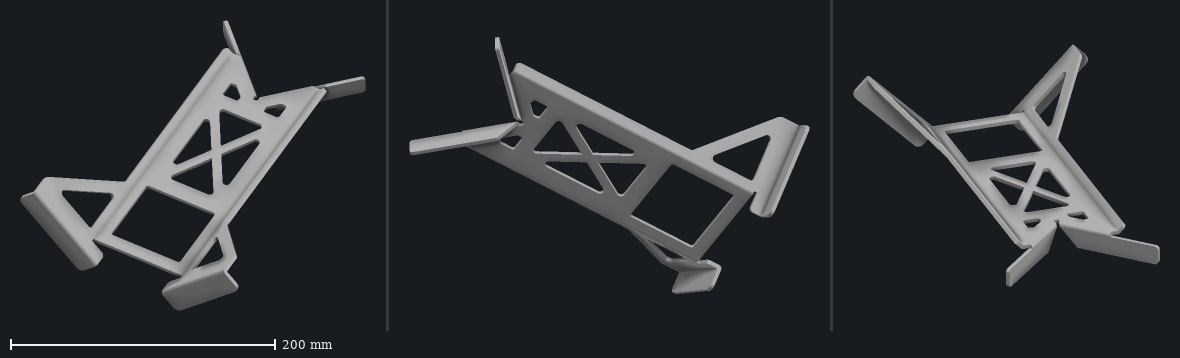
import cadquery as cq
import math

sheet = 3.0
diag = math.sqrt(0.5)

plate_half_width = 37.63
plate_length = 215.3
vee_apex_y = 182.3
relief_y = 184.1
relief_radius = 2.2
relief_slot_width = 2.6

window_width = 59.5
window_front_y = 10.5
window_back_y = 67.2
window_corner_radius = 2.0
brace_half_width = 24.45
brace_half_height = 40.65
brace_center_y = 121.95
brace_bar_half_width = 3.6
brace_corner_radius = 3.0
vent_inner_x = 10.9
vent_front_y = 174.8
vent_back_y = 188.4
vent_to_vee = 9.3
vent_corner_radius = 2.0

wing_fold_angle = 45.0
wing_width = 62.0
rail_width = 7.1
wing_shoulder_y = 3.7
wing_corner_radius = 5.0
rail_end_radius = 3.0
gusset_border = 9.3
gusset_front_y = 3.7
gusset_corner_radius = 3.0
tab_width = 14.04
tab_corner_radius = 3.0
notch_length = 2.8
notch_depth = 1.1

foot_front_y = -15.4
foot_depth = 20.0
foot_corner_radius = 5.0

ear_depth = 15.0
ear_start = 4.3
ear_tip = 87.13
ear_corner_radius = 3.0

foot_back_y = foot_front_y + sheet
wing_plane = cq.Plane(origin=(plate_half_width, 0, sheet), xDir=(1, 0, 1), normal=(-1, 0, 1))
foot_plane = cq.Plane(origin=(plate_half_width, foot_back_y, sheet), xDir=(1, 0, 1), normal=(0, -1, 0))
ear_plane = cq.Plane(origin=(0, vee_apex_y, 0), xDir=(1, 1, 0), normal=(1, -1, 0))


def mirror_pair(body):
    """Return the body together with its mirror image across X = 0."""
    return body.union(body.mirror("YZ"))


def prism(points):
    """Return a vertical prism through the plate."""
    return cq.Workplane("XY").polyline(points).close().extrude(sheet)


def make_plate():
    corner_x = plate_length - vee_apex_y
    half_outline = [
        (0, 0),
        (plate_half_width, 0),
        (plate_half_width, plate_length),
        (corner_x, plate_length),
        (0, vee_apex_y),
    ]
    return mirror_pair(prism(half_outline))


def make_window():
    length = window_back_y - window_front_y
    return (
        cq.Workplane("XY")
        .center(0, window_front_y + length / 2)
        .rect(window_width, length)
        .extrude(sheet)
        .edges("|Z")
        .fillet(window_corner_radius)
    )


def make_brace_openings():
    """Four triangles left between the diagonals of a rectangle."""
    slope = brace_half_height / brace_half_width
    bar_angle = math.atan(slope)
    apex_x = brace_bar_half_width / math.sin(bar_angle)
    apex_y = brace_bar_half_width / math.cos(bar_angle)
    side_y = (brace_half_width - apex_x) * slope
    end_x = (brace_half_height - apex_y) / slope
    side = prism([(apex_x, 0), (brace_half_width, -side_y), (brace_half_width, side_y)])
    side = side.edges("|Z and >X").fillet(brace_corner_radius)
    end = prism([(0, apex_y), (end_x, brace_half_height), (-end_x, brace_half_height)])
    end = end.edges("|Z and >Y").fillet(brace_corner_radius)
    openings = mirror_pair(side).union(end).union(end.mirror("XZ"))
    return openings.translate((0, brace_center_y, 0))


def make_vents():
    """Square openings with one corner cut parallel to the V fold."""
    cut_offset = vee_apex_y - vent_to_vee / diag
    outline = [
        (vent_inner_x, vent_front_y),
        (brace_half_width, vent_front_y),
        (brace_half_width, vent_back_y),
        (vent_back_y - cut_offset, vent_back_y),
        (vent_inner_x, vent_inner_x + cut_offset),
    ]
    return mirror_pair(prism(outline).edges("|Z").fillet(vent_corner_radius))


def make_vee_relief():
    hole = cq.Workplane("XY").center(0, relief_y).circle(relief_radius).extrude(sheet)
    slot_length = plate_length - relief_y
    slot = (
        cq.Workplane("XY")
        .center(0, relief_y + slot_length / 2)
        .rect(relief_slot_width, slot_length)
        .extrude(sheet)
    )
    return hole.union(slot)


def make_wing():
    """Right wing: a rail along the plate, a gusset and a front tab."""
    rise = wing_width - rail_width
    outline = [
        (-tab_width, foot_back_y),
        (wing_width, foot_back_y),
        (wing_width, wing_shoulder_y),
        (rail_width, wing_shoulder_y + rise),
        (rail_width, plate_length),
        (0, plate_length),
        (0, 0),
        (notch_depth, 0),
        (notch_depth, -notch_length),
        (-tab_width, -notch_length),
    ]

    def edge_at(width, y):
        point = wing_plane.toWorldCoords((width, y, -sheet / 2))
        return cq.selectors.NearestToPointSelector(point.toTuple())

    wing = cq.Workplane(wing_plane).polyline(outline).close().extrude(-sheet)
    wing = wing.edges(edge_at(wing_width, wing_shoulder_y)).fillet(wing_corner_radius)
    wing = wing.edges(edge_at(rail_width, wing_shoulder_y + rise)).fillet(wing_corner_radius)
    wing = wing.edges(edge_at(rail_width, plate_length)).fillet(rail_end_radius)
    wing = wing.edges(edge_at(-tab_width, -notch_length)).fillet(tab_corner_radius)
    return wing.cut(make_gusset_opening())


def make_gusset_opening():
    slant_sum = wing_width + wing_shoulder_y - gusset_border / diag
    outline = [
        (rail_width, gusset_front_y),
        (slant_sum - gusset_front_y, gusset_front_y),
        (rail_width, slant_sum - rail_width),
    ]
    opening = cq.Workplane(wing_plane).polyline(outline).close().extrude(-sheet)
    corners = cq.selectors.ParallelDirSelector(wing_plane.zDir)
    return opening.edges(corners).fillet(gusset_corner_radius)


def make_wing_fold():
    """Rounded 45 degree fold between plate and wing."""
    half_turn = math.radians(wing_fold_angle / 2)
    middle = (sheet * math.sin(half_turn), sheet - sheet * math.cos(half_turn))
    return (
        cq.Workplane("XZ", origin=(plate_half_width, 0, 0))
        .moveTo(0, sheet)
        .lineTo(0, 0)
        .threePointArc(middle, (sheet * diag, sheet - sheet * diag))
        .close()
        .extrude(-plate_length)
    )


def quarter_round(plane, length):
    """Quarter cylinder along the plane's normal, filling its first quadrant."""
    return (
        cq.Workplane(plane)
        .moveTo(0, 0)
        .lineTo(sheet, 0)
        .threePointArc((sheet * diag, sheet * diag), (0, sheet))
        .close()
        .extrude(length)
    )


def make_foot():
    """Right foot with the rounded fold that joins it to the wing."""
    length = wing_width + tab_width
    outline = [
        (-tab_width, -sheet),
        (wing_width, -sheet),
        (wing_width, -foot_depth),
        (-tab_width, -foot_depth),
    ]
    foot = cq.Workplane(foot_plane).polyline(outline).close().extrude(sheet)
    lower_end = cq.selectors.DirectionMinMaxSelector(foot_plane.yDir, False)
    foot = foot.edges("|Y").edges(lower_end).fillet(foot_corner_radius)
    fold_origin = foot_plane.toWorldCoords((wing_width, -sheet, 0))
    fold_plane = cq.Plane(origin=fold_origin, xDir=(0, -1, 0), normal=-foot_plane.xDir)
    return foot.union(quarter_round(fold_plane, length))


def make_ear():
    """Right ear with the rounded fold that joins it to the plate."""
    outline = [
        (ear_start, 0),
        (ear_start + ear_depth, -ear_depth),
        (ear_tip, -ear_depth),
        (ear_tip, 0),
    ]
    ear = cq.Workplane(ear_plane).polyline(outline).close().extrude(-sheet)
    tip = cq.selectors.DirectionMinMaxSelector(ear_plane.xDir, True)
    ear_thickness = cq.selectors.ParallelDirSelector(ear_plane.zDir)
    ear = ear.edges(ear_thickness).edges(tip).fillet(ear_corner_radius)
    fold_length = (plate_length - vee_apex_y) / diag
    fold_plane = cq.Plane(origin=(0, vee_apex_y, 0), xDir=(-1, 1, 0), normal=ear_plane.xDir)
    fold = quarter_round(fold_plane, fold_length).cut(make_vee_relief())
    return ear.union(fold)


wing = make_wing().union(make_wing_fold()).union(make_foot())
result = (
    make_plate()
    .union(mirror_pair(wing))
    .union(mirror_pair(make_ear()))
    .cut(make_window())
    .cut(make_brace_openings())
    .cut(make_vents())
    .cut(make_vee_relief())
)